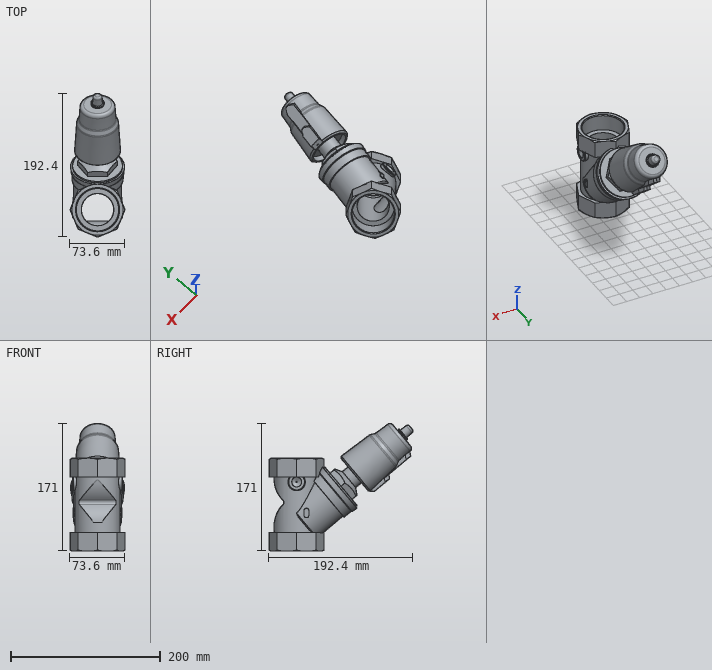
import cadquery as cq
import math

BODY_HALF_LENGTH = 62.2
NUT_HEIGHT = 25.2
NUT_CORNER_DIAMETER = 73.6
NUT_SIDES = 8
NUT_FACE_RADIUS = 34.1
CHAMFER_ANGLE = math.radians(30)
CUT_MARGIN = 1.0
BRANCH_TILT = 50.0
BRANCH_ORIGIN_Z = -25.2

PIPE_RADIUS = 30.35
BORE_DIAMETER = 43.0
SOCKET_DIAMETER = 56.66
SOCKET_DEPTH = 24.0
SOCKET_CHAMFER = 1.2

WAIST_TOP = (-PIPE_RADIUS, 33.3)
WAIST_UPPER_MID = (-27.3, 19.2)
WAIST_UPPER_END = (-19.0, 6.6)
WAIST_FLOOR = (-17.3, 3.3)
WAIST_LOWER_START = (-18.4, 0.0)
WAIST_LOWER_MID = (-26.1, -10.7)
WAIST_BOTTOM = (-29.8, -23.7)
WAIST_WALL = 2.3

BOSS_Z = 30.4
BOSS_RADIUS = 11.6
BOSS_FACE_X = 33.4
BOSS_CHAMFER = 1.0
DIMPLE_RADIUS = 6.6
DIMPLE_TIP_RADIUS = 0.7
DIMPLE_DEPTH = 4.0

PAD_CENTER = (13.1, -11.0)
PAD_LENGTH = 12.7
PAD_WIDTH = 6.3
PAD_FACE_X = 33.0
PAD_ROOT_X = 25.0

BRANCH_RADIUS = 32.25
BRANCH_START = 7.2
BRANCH_CHAMFER = 1.6
COLLAR_START = 54.0
COLLAR_RADIUS = 34.4
FLANGE_START = 66.3
FLANGE_LOWER_RADIUS = 35.5
FLANGE_RADIUS = 36.2
FLANGE_EDGE = 0.9
FLANGE_END = 75.0
DISC_DIAMETER = 67.0
DISC_END = 77.5

HEX_SIDES = 6
HEX_ACROSS_FLATS = 46.0
HEX_END = 91.5
NECK_DIAMETER = 28.0

HOUSING_START = 101.5
HOUSING_RIM_HEIGHT = 2.2
HOUSING_RIM_RADIUS = 28.6
HOUSING_BASE_RADIUS = 30.8
SHOULDER_START = 150.3
SHOULDER_RADIUS = 28.2
SHOULDER_ROUND_END = (27.8, 152.2)
SHOULDER_END = (25.2, 157.4)
CAP_START = (24.8, 159.4)
CAP_TOP = 183.5
CAP_ROUND = 5.0
CAP_RADIUS = 23.6
HOUSING_WALL = 2.5
HOUSING_RECESS_DEPTH = 8.0

STEM_COLLAR_DIAMETER = 18.2
STEM_COLLAR_ROOT_RADIUS = 8.2
STEM_COLLAR_BASE = 185.2
STEM_COLLAR_TOP = 186.3
STEM_BASE_RADIUS = 6.8
STEM_RADIUS = 6.2
STEM_TOP = 199.53
STEM_ROUND = 3.0

PORT_HALF_WIDTH = 8.0
PORT_CHAMFER_LENGTH = 4.5
PORT_CHAMFER_WIDTH = 7.0
LONG_PORT_OFFSET = 29.0
LONG_PORT_START = 120.0
LONG_PORT_END = 175.0
SHORT_PORT_OFFSET = 34.0
SHORT_PORT_END = 134.0
SHORT_PORT_LOWER_EDGE = 107.0
PORT_END_SLOPE = 0.55
PORT_ROOT_OFFSET = 16.0


def cylinder_z(radius, z_from, z_to):
    return cq.Workplane("XY").workplane(offset=z_from).circle(radius).extrude(z_to - z_from)


def on_branch(shape):
    """Move a shape built along +Z onto the tilted branch axis."""
    tilted = shape.rotate((0, 0, 0), (1, 0, 0), -BRANCH_TILT)
    return tilted.translate((0, 0, BRANCH_ORIGIN_Z))


def corner_cone(apex_radius, top, reach):
    """Revolved blank whose upper edge falls away at the chamfer angle beyond apex_radius."""
    drop = (reach - apex_radius) * math.tan(CHAMFER_ANGLE)
    points = [(0, 0), (reach, 0), (reach, top - drop), (apex_radius, top), (0, top)]
    return cq.Workplane("XZ").polyline(points).close().revolve(360, (0, 0), (0, 1))


def end_nut():
    """Upper octagonal end, with corners on the X and Y axes."""
    nut = (
        cq.Workplane("XY")
        .workplane(offset=BODY_HALF_LENGTH - NUT_HEIGHT)
        .polygon(NUT_SIDES, NUT_CORNER_DIAMETER)
        .extrude(NUT_HEIGHT)
    )
    reach = NUT_CORNER_DIAMETER / 2 + CUT_MARGIN
    return nut.intersect(corner_cone(NUT_FACE_RADIUS, BODY_HALF_LENGTH, reach))


def end_socket():
    """Counterbore of the upper end, widened at its mouth."""
    radius = SOCKET_DIAMETER / 2
    floor = BODY_HALF_LENGTH - SOCKET_DEPTH
    points = [
        (0, floor),
        (radius, floor),
        (radius, BODY_HALF_LENGTH - SOCKET_CHAMFER),
        (radius + SOCKET_CHAMFER, BODY_HALF_LENGTH),
        (0, BODY_HALF_LENGTH),
    ]
    return cq.Workplane("XZ").polyline(points).close().revolve(360, (0, 0), (0, 1))


def both_ends(shape):
    return shape.union(shape.mirror("XY"))


def both_sides(shape):
    return shape.union(shape.mirror("YZ"))


def waist_notch():
    """Curved notch running along X across the -Y side of the pipe."""
    outside = -PIPE_RADIUS - CUT_MARGIN
    return (
        cq.Workplane("YZ")
        .moveTo(*WAIST_TOP)
        .threePointArc(WAIST_UPPER_MID, WAIST_UPPER_END)
        .threePointArc(WAIST_FLOOR, WAIST_LOWER_START)
        .threePointArc(WAIST_LOWER_MID, WAIST_BOTTOM)
        .lineTo(outside, WAIST_BOTTOM[1])
        .lineTo(outside, WAIST_TOP[1])
        .close()
        .extrude(PIPE_RADIUS + CUT_MARGIN, both=True)
    )


def waist_bulge():
    """Rounded bulge that keeps a wall between the notch and the bore."""
    top, floor, bottom = [(y + WAIST_WALL, z) for y, z in (WAIST_TOP, WAIST_FLOOR, WAIST_BOTTOM)]
    return (
        cq.Workplane("YZ")
        .moveTo(*top)
        .threePointArc(floor, bottom)
        .close()
        .extrude(PIPE_RADIUS, both=True)
    )


def boss():
    blank = cq.Workplane("YZ").center(0, BOSS_Z).circle(BOSS_RADIUS).extrude(BOSS_FACE_X)
    return blank.faces(">X").chamfer(BOSS_CHAMFER)


def dimple():
    return (
        cq.Workplane("YZ")
        .workplane(offset=BOSS_FACE_X)
        .center(0, BOSS_Z)
        .circle(DIMPLE_RADIUS)
        .workplane(offset=-DIMPLE_DEPTH)
        .circle(DIMPLE_TIP_RADIUS)
        .loft()
    )


def pad():
    return (
        cq.Workplane("YZ")
        .workplane(offset=PAD_ROOT_X)
        .center(*PAD_CENTER)
        .slot2D(PAD_LENGTH, PAD_WIDTH, 90)
        .extrude(PAD_FACE_X - PAD_ROOT_X)
    )


def branch():
    """Branch tube, collar, flange and disc as one turned shape."""
    disc_radius = DISC_DIAMETER / 2
    points = [
        (0, BRANCH_START),
        (BRANCH_RADIUS - BRANCH_CHAMFER, BRANCH_START),
        (BRANCH_RADIUS, BRANCH_START + BRANCH_CHAMFER),
        (BRANCH_RADIUS, COLLAR_START),
        (COLLAR_RADIUS, COLLAR_START),
        (COLLAR_RADIUS, FLANGE_START),
        (FLANGE_LOWER_RADIUS, FLANGE_START + FLANGE_EDGE),
        (FLANGE_RADIUS, FLANGE_END),
        (disc_radius, FLANGE_END),
        (disc_radius, DISC_END),
        (0, DISC_END),
    ]
    return cq.Workplane("XZ").polyline(points).close().revolve(360, (0, 0), (0, 1))


def bonnet():
    """Hexagon with a conical top, and the neck that carries the actuator."""
    corner_diameter = HEX_ACROSS_FLATS / math.cos(math.pi / HEX_SIDES)
    hexagon = (
        cq.Workplane("XY")
        .workplane(offset=DISC_END)
        .polygon(HEX_SIDES, corner_diameter)
        .extrude(HEX_END - DISC_END)
    )
    neck_radius = NECK_DIAMETER / 2
    hexagon = hexagon.intersect(corner_cone(neck_radius, HEX_END, corner_diameter / 2 + CUT_MARGIN))
    neck_top = HOUSING_START + HOUSING_RECESS_DEPTH + HOUSING_WALL
    return hexagon.union(cylinder_z(neck_radius, DISC_END, neck_top))


def round_mid(radius, height, size):
    """Middle point of a quarter round that ends a turned edge at (radius, height)."""
    inset = size * (1 - math.sqrt(0.5))
    return (radius - inset, height - inset)


def housing():
    """Turned actuator housing with its rounded cap."""
    return (
        cq.Workplane("XZ")
        .moveTo(0, HOUSING_START)
        .lineTo(HOUSING_RIM_RADIUS, HOUSING_START)
        .lineTo(HOUSING_BASE_RADIUS, HOUSING_START + HOUSING_RIM_HEIGHT)
        .lineTo(SHOULDER_RADIUS, SHOULDER_START)
        .lineTo(*SHOULDER_ROUND_END)
        .lineTo(*SHOULDER_END)
        .lineTo(*CAP_START)
        .lineTo(CAP_RADIUS, CAP_TOP - CAP_ROUND)
        .threePointArc(round_mid(CAP_RADIUS, CAP_TOP, CAP_ROUND), (CAP_RADIUS - CAP_ROUND, CAP_TOP))
        .lineTo(0, CAP_TOP)
        .close()
        .revolve(360, (0, 0), (0, 1))
    )


def housing_recess():
    """Open ring around the neck on the underside of the housing."""
    top = HOUSING_START + HOUSING_RECESS_DEPTH
    outer = cylinder_z(HOUSING_RIM_RADIUS - HOUSING_WALL, HOUSING_START, top)
    return outer.cut(cylinder_z(NECK_DIAMETER / 2, HOUSING_START, top))


def stem():
    return (
        cq.Workplane("XZ")
        .moveTo(0, CAP_TOP - CAP_ROUND)
        .lineTo(STEM_COLLAR_ROOT_RADIUS, CAP_TOP - CAP_ROUND)
        .lineTo(STEM_COLLAR_ROOT_RADIUS, STEM_COLLAR_BASE)
        .lineTo(STEM_COLLAR_DIAMETER / 2, STEM_COLLAR_BASE)
        .lineTo(STEM_COLLAR_DIAMETER / 2, STEM_COLLAR_TOP)
        .lineTo(STEM_BASE_RADIUS, STEM_COLLAR_TOP)
        .lineTo(STEM_RADIUS, STEM_TOP - STEM_ROUND)
        .threePointArc(round_mid(STEM_RADIUS, STEM_TOP, STEM_ROUND), (STEM_RADIUS - STEM_ROUND, STEM_TOP))
        .lineTo(0, STEM_TOP)
        .close()
        .revolve(360, (0, 0), (0, 1))
    )


def port_block(offset, start, lower_edge, end):
    """Block under the housing with a sloping, chamfered upper end."""
    rise = (offset - PORT_ROOT_OFFSET) * PORT_END_SLOPE
    block = (
        cq.Workplane("YZ")
        .polyline([
            (PORT_ROOT_OFFSET, start),
            (HOUSING_RIM_RADIUS, start),
            (offset, lower_edge),
            (offset, end),
            (PORT_ROOT_OFFSET, end + rise),
        ])
        .close()
        .extrude(PORT_HALF_WIDTH, both=True)
    )
    end_sides = block.faces(">Z").edges("not |X")
    return end_sides.chamfer(PORT_CHAMFER_WIDTH, PORT_CHAMFER_LENGTH)


def actuator():
    long_port = port_block(LONG_PORT_OFFSET, LONG_PORT_START, LONG_PORT_START, LONG_PORT_END)
    short_port = port_block(SHORT_PORT_OFFSET, HOUSING_START, SHORT_PORT_LOWER_EDGE, SHORT_PORT_END)
    shape = housing().union(long_port).union(short_port)
    return shape.cut(housing_recess()).union(stem())


def valve_body():
    pipe = cylinder_z(PIPE_RADIUS, -BODY_HALF_LENGTH, BODY_HALF_LENGTH).cut(waist_notch())
    shape = pipe.union(on_branch(branch()))
    shape = shape.union(both_ends(end_nut()))
    shape = shape.union(both_sides(boss())).union(both_sides(pad()))
    bore = cylinder_z(BORE_DIAMETER / 2, -BODY_HALF_LENGTH, BODY_HALF_LENGTH).cut(waist_bulge())
    shape = shape.cut(bore).cut(both_ends(end_socket()))
    return shape.cut(both_sides(dimple()))


result = valve_body().union(on_branch(bonnet().union(actuator())))